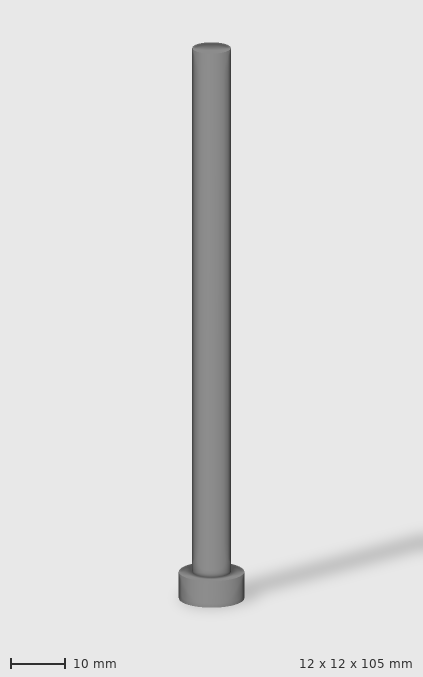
import cadquery as cq

total_length = 105.0
head_diameter = 12.0
head_height = 5.0
shank_diameter = 7.0

head = cq.Workplane("XY").circle(head_diameter / 2).extrude(head_height)
shank = cq.Workplane("XY").circle(shank_diameter / 2).extrude(total_length)

result = head.union(shank)